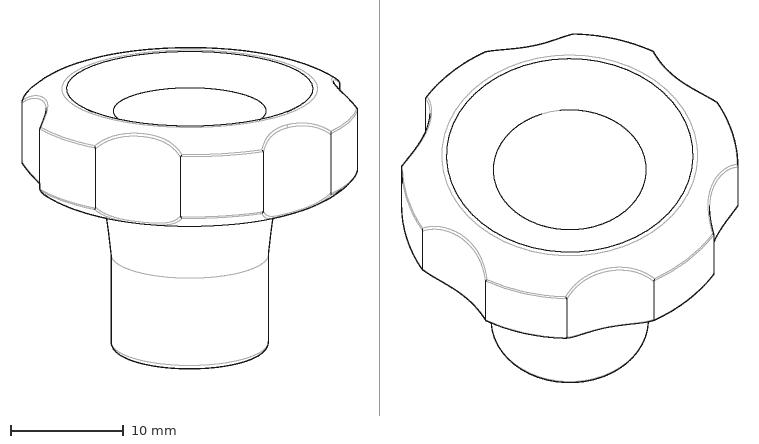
import cadquery as cq
import math

height = 24.0
head_radius = 14.95

stem_radius = 14.0 / 2
stem_height = 8.58
stem_edge_round = 0.45
neck_top_radius = 7.85
neck_sag = 0.05

head_bottom = 15.0
crown_height = 1.5
underside_height = 1.7
shoulder_radius = 11.35
edge_round = 0.25

dish_radius = 10.95
dish_floor_radius = 6.8
dish_depth = 2.05
dish_sag = 0.27

scallop_count = 6
scallop_radius = 7.0
scallop_floor = 13.15


def bowed_midpoint(start, end, sag):
    """Middle of an arc from start to end, shifted by sag to the right of travel."""
    run = end[0] - start[0]
    rise = end[1] - start[1]
    length = math.hypot(run, rise)
    mid_r = (start[0] + end[0]) / 2 + sag * rise / length
    mid_z = (start[1] + end[1]) / 2 - sag * run / length
    return mid_r, mid_z


def revolve_profile(profile):
    return profile.close().revolve(360, (0, 0, 0), (0, 1, 0))


def make_stem():
    base = cq.Workplane("XY").circle(stem_radius).extrude(stem_height)
    base = base.faces("<Z").edges().fillet(stem_edge_round)
    neck_start = (stem_radius, stem_height)
    neck_end = (neck_top_radius, head_bottom)
    neck = revolve_profile(
        cq.Workplane("XZ")
        .moveTo(0, stem_height)
        .lineTo(*neck_start)
        .threePointArc(bowed_midpoint(neck_start, neck_end, -neck_sag), neck_end)
        .lineTo(0, head_bottom)
    )
    return base.union(neck)


def make_head():
    """Grip body with bands that run tangent into the flat top and bottom."""
    body = revolve_profile(
        cq.Workplane("XZ")
        .moveTo(0, head_bottom)
        .lineTo(shoulder_radius, head_bottom)
        .tangentArcPoint((head_radius, head_bottom + underside_height), relative=False)
        .lineTo(head_radius, height - crown_height)
        .threePointArc(crown_midpoint(), (shoulder_radius, height))
        .lineTo(0, height)
    )
    return round_grip_rims(cut_scallops(body))


def crown_midpoint():
    """Middle of the crown arc, whose center lies below the shoulder."""
    width = head_radius - shoulder_radius
    arc_radius = (width**2 + crown_height**2) / (2 * crown_height)
    half_angle = math.asin(width / arc_radius) / 2
    mid_r = shoulder_radius + arc_radius * math.sin(half_angle)
    mid_z = height - arc_radius * (1 - math.cos(half_angle))
    return mid_r, mid_z


def cut_scallops(body):
    cutters = (
        cq.Workplane("XY", origin=(0, 0, head_bottom))
        .polarArray(scallop_floor + scallop_radius, 0, 360, scallop_count)
        .circle(scallop_radius)
        .extrude(height - head_bottom)
    )
    return body.cut(cutters)


def edge_is_upright(edge):
    """True for the straight corners between scallops and grip wall."""
    return edge.geomType() == "LINE"


def round_grip_rims(body):
    """Round the upper and lower outlines of the grip, leaving its upright edges sharp."""
    grip_faces = body.faces("%CYLINDER").vals()
    rim_edges = [
        edge
        for face in grip_faces
        for edge in face.Edges()
        if not edge_is_upright(edge)
    ]
    return body.newObject(rim_edges).fillet(edge_round)


def make_dish():
    floor_end = (dish_floor_radius, height - dish_depth)
    rim = (dish_radius, height)
    return revolve_profile(
        cq.Workplane("XZ")
        .moveTo(0, height - dish_depth)
        .lineTo(*floor_end)
        .threePointArc(bowed_midpoint(floor_end, rim, dish_sag), rim)
        .lineTo(0, height)
    )


result = make_head().union(make_stem()).cut(make_dish())